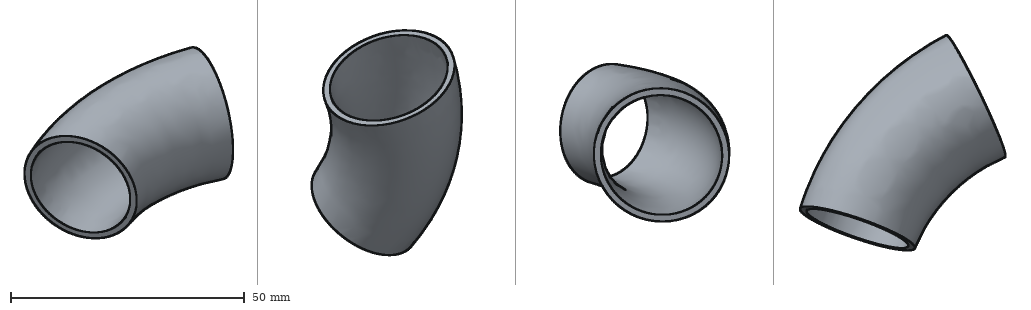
import cadquery as cq
import math

BEND_RADIUS = 50.0
BEND_ANGLE = 45.0
WALL = 1.5
INLET_OUTER_DIAMETER = 26.0
OUTLET_OUTER_DIAMETER = 29.0


def centreline_point(angle):
    """Point on the bend centreline, which leaves the origin along +Y and turns toward +X."""
    turn = math.radians(angle)
    return (BEND_RADIUS * (1 - math.cos(turn)), BEND_RADIUS * math.sin(turn), 0)


def section_plane(angle):
    """Plane square to the centreline at the given angle along the bend."""
    turn = math.radians(angle)
    return cq.Plane(
        origin=centreline_point(angle),
        xDir=(0, 0, 1),
        normal=(math.sin(turn), math.cos(turn), 0),
    )


def section_circle(angle, radius):
    """Circular wire around the centreline at the given angle along the bend."""
    return cq.Workplane(section_plane(angle)).circle(radius).wires().val()


def tapered_bend(inlet_radius, outlet_radius):
    """Solid bend whose radius grows steadily from inlet to outlet."""
    centreline = cq.Workplane("XY").moveTo(0, 0).threePointArc(
        centreline_point(BEND_ANGLE / 2)[:2],
        centreline_point(BEND_ANGLE)[:2],
    )
    sections = [
        section_circle(0, inlet_radius),
        section_circle(BEND_ANGLE, outlet_radius),
    ]
    return cq.Workplane("XY").add(cq.Solid.sweep_multi(sections, centreline.val()))


inlet_radius = INLET_OUTER_DIAMETER / 2
outlet_radius = OUTLET_OUTER_DIAMETER / 2

outside = tapered_bend(inlet_radius, outlet_radius)
bore = tapered_bend(inlet_radius - WALL, outlet_radius - WALL)

result = outside.cut(bore)